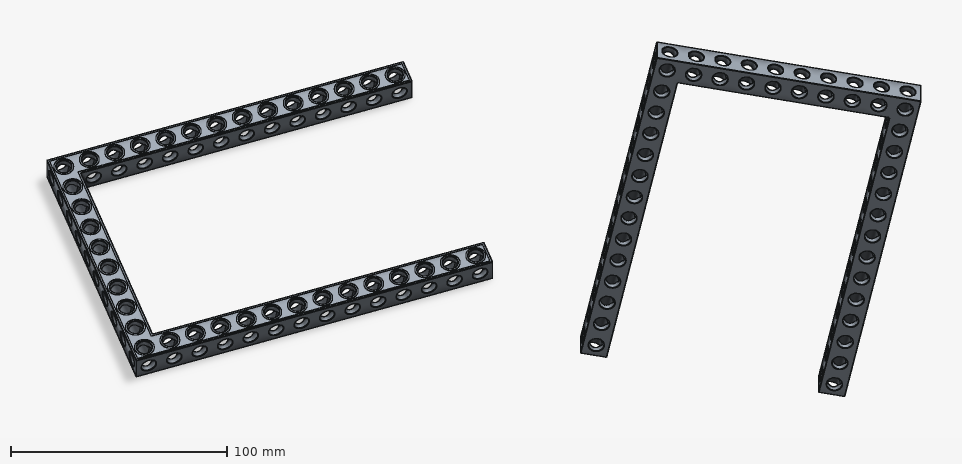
import cadquery as cq

pitch = 12.5
columns = 10
rows = 14
bore_d = 7.0
edge_chamfer = 0.3
land_width = 0.8
recess_depth = 0.2

half_bar = pitch / 2
width = columns * pitch
length = rows * pitch
opening_width = width - 2 * pitch
opening_length = length - pitch
rim_width = edge_chamfer + land_width
ring_d = bore_d + 2 * (edge_chamfer + land_width)

column_xs = [(i + 0.5) * pitch - width / 2 for i in range(columns)]
row_ys = [(j + 0.5) * pitch - length / 2 for j in range(rows)]
crossbar_y = row_ys[0]
arm_xs = [column_xs[0], column_xs[-1]]
arm_ys = row_ys[1:]
hole_points = [(x, crossbar_y) for x in column_xs]
hole_points += [(x, y) for x in arm_xs for y in arm_ys]


def u_prism(inset, bottom_z, height):
    """U-shaped prism, open toward +Y, with its outline moved inward by inset."""
    outer = (
        cq.Workplane("XY", origin=(0, 0, bottom_z))
        .rect(width - 2 * inset, length - 2 * inset)
        .extrude(height)
    )
    opening = (
        cq.Workplane("XY", origin=(0, half_bar, bottom_z))
        .rect(opening_width + 2 * inset, opening_length + 2 * inset)
        .extrude(height)
    )
    return outer.cut(opening)


def top_recess():
    """Shallow sunken area that leaves a rim and a ring around each top bore."""
    floor_z = half_bar - recess_depth
    rings = (
        cq.Workplane("XY", origin=(0, 0, floor_z))
        .pushPoints(hole_points)
        .circle(ring_d / 2)
        .extrude(recess_depth)
    )
    return u_prism(rim_width, floor_z, recess_depth).cut(rings)


def bore(start_point, direction_vector, depth):
    """Through bore with a chamfered mouth at each end, as a list of solids."""
    start = cq.Vector(*start_point)
    direction = cq.Vector(*direction_vector)
    end = start + direction * depth
    radius = bore_d / 2
    mouth_radius = radius + edge_chamfer
    return [
        cq.Solid.makeCylinder(radius, depth, start, direction),
        cq.Solid.makeCone(mouth_radius, radius, edge_chamfer, start, direction),
        cq.Solid.makeCone(mouth_radius, radius, edge_chamfer, end, direction * -1),
    ]


def vertical_bores():
    """One bore along Z at every hole position."""
    tools = []
    for x, y in hole_points:
        tools += bore((x, y, -half_bar), (0, 0, 1), pitch)
    return tools


def horizontal_bores():
    """Cross bores through each bar, plus one along the core of each bar."""
    tools = bore((-width / 2, crossbar_y, 0), (1, 0, 0), width)
    for x in arm_xs:
        tools += bore((x, -length / 2, 0), (0, 1, 0), length)
        for y in arm_ys:
            tools += bore((x - half_bar, y, 0), (1, 0, 0), pitch)
    for x in column_xs[1:-1]:
        tools += bore((x, -length / 2, 0), (0, 1, 0), pitch)
    return tools


frame = u_prism(0, -half_bar, pitch).edges().chamfer(edge_chamfer)
frame = frame.cut(top_recess())
drilled = frame.val().cut(*vertical_bores(), *horizontal_bores())
result = cq.Workplane("XY").newObject(drilled.Solids())